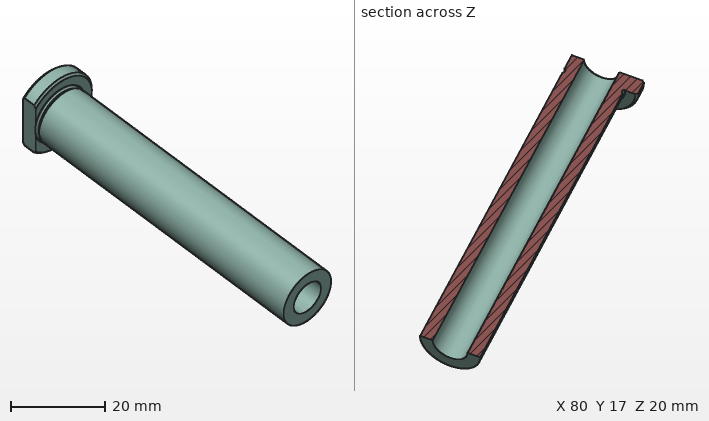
import cadquery as cq
import math

total_length = 80.0
head_diameter = 20.0
head_thickness = 4.0
head_chamfer = 0.5
shank_diameter = 14.0
undercut_diameter = 13.3
undercut_width = 1.0
undercut_taper = 0.6
undercut_fillet = 0.4
relief_depth = 0.2
bore_diameter = 8.0
bore_chamfer = 0.2

head_radius = head_diameter / 2
shank_radius = shank_diameter / 2
undercut_radius = undercut_diameter / 2
bore_radius = bore_diameter / 2
undercut_end = head_thickness + undercut_width

relief_floor = head_thickness - relief_depth
fillet_top = undercut_radius + undercut_fillet
fillet_end = relief_floor + undercut_fillet
fillet_sag = undercut_fillet * (1 - math.sqrt(0.5))

pin = (
    cq.Workplane("XY")
    .moveTo(0, bore_radius + bore_chamfer)
    .lineTo(0, head_radius - head_chamfer)
    .lineTo(head_chamfer, head_radius)
    .lineTo(head_thickness - head_chamfer, head_radius)
    .lineTo(head_thickness, head_radius - head_chamfer)
    .lineTo(head_thickness, fillet_top + relief_depth)
    .lineTo(relief_floor, fillet_top)
    .threePointArc(
        (relief_floor + fillet_sag, undercut_radius + fillet_sag),
        (fillet_end, undercut_radius),
    )
    .lineTo(undercut_end - undercut_taper, undercut_radius)
    .lineTo(undercut_end, shank_radius)
    .lineTo(total_length, shank_radius)
    .lineTo(total_length, bore_radius)
    .lineTo(bore_chamfer, bore_radius)
    .close()
    .revolve(360, (0, 0, 0), (1, 0, 0))
)

flat_cutter = cq.Workplane("XY").box(
    head_thickness, head_radius, head_diameter, centered=(False, False, True)
).translate((0, -shank_radius - head_radius, 0))

result = pin.cut(flat_cutter)